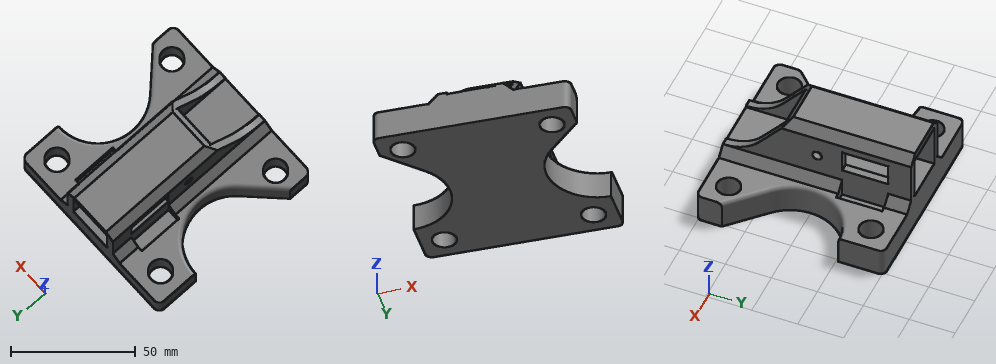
import cadquery as cq
import math

SIDE = 82.0
HALF_SIDE = SIDE / 2
BASE_HEIGHT = 13.0
CORNER_RADIUS = 2.8
BOLT_DIAMETER = 10.0
BOLT_INSET = 10.0
SCALLOP_RADIUS = 21.0
EDGE_ROUND = 2.0
RIM_MARGIN = 0.8

TOTAL_HEIGHT = 40.0
BORE_SIZE = 20.0
WALL = 3.5
HOUSING_WIDTH = BORE_SIZE + 2 * WALL
HOUSING_CHAMFER = 4.1
SKIRT_SIZE = 4.1
SKIRT_TOP = BASE_HEIGHT + SKIRT_SIZE
ROOF_END_Y = -12.05
NOSE_RADIUS = 20.0
NOSE_ANGLE = math.radians(50)

WINDOW_LENGTH = 20.0
WINDOW_HEIGHT = 10.0
WINDOW_Y = HALF_SIDE - BOLT_INSET - WINDOW_LENGTH / 2
WINDOW_Z = 27.55
POCKET_OUTER_X = 19.8
POCKET_DEPTH = 8.2
PIN_DIAMETER = 4.0
PIN_Z = 26.5


def scalloped(plate):
    """Cut an arc with a 45 degree run-out into both X sides, rounding the top rim."""
    diagonal = SCALLOP_RADIUS * math.sqrt(0.5)
    for side in (-1, 1):
        edge = side * HALF_SIDE
        cutter = (
            cq.Workplane("XY")
            .moveTo(edge, SCALLOP_RADIUS)
            .threePointArc(
                (edge - side * SCALLOP_RADIUS, 0),
                (edge - side * diagonal, -diagonal),
            )
            .lineTo(edge, -2 * diagonal)
            .close()
            .extrude(BASE_HEIGHT)
        )
        plate = plate.cut(cutter)
        rim = cq.selectors.BoxSelector(
            (edge - side * (SCALLOP_RADIUS + RIM_MARGIN), -2 * diagonal, BASE_HEIGHT - RIM_MARGIN),
            (edge - side * RIM_MARGIN, SCALLOP_RADIUS, BASE_HEIGHT + RIM_MARGIN),
        )
        plate = plate.edges(rim).fillet(EDGE_ROUND)
    return plate


def make_base():
    plate = cq.Workplane("XY").box(SIDE, SIDE, BASE_HEIGHT, centered=(True, True, False))
    plate = scalloped(plate.edges("|Z").fillet(CORNER_RADIUS))
    bolt_spacing = SIDE - 2 * BOLT_INSET
    bolts = (
        cq.Workplane("XY")
        .rect(bolt_spacing, bolt_spacing, forConstruction=True)
        .vertices()
        .circle(BOLT_DIAMETER / 2)
        .extrude(BASE_HEIGHT)
    )
    return plate.cut(bolts)


def make_skirt():
    """Sloping strip along both feet of the housing."""
    top = HOUSING_WIDTH / 2
    bottom = top + SKIRT_SIZE
    return (
        cq.Workplane("XZ")
        .polyline([(-bottom, BASE_HEIGHT), (bottom, BASE_HEIGHT), (top, SKIRT_TOP), (-top, SKIRT_TOP)])
        .close()
        .extrude(HALF_SIDE, both=True)
    )


def make_housing():
    """Side profile with the nose curve, chamfered along both upper edges."""
    arc_start_z = SKIRT_TOP + NOSE_RADIUS * (1 - math.cos(NOSE_ANGLE))
    arc_start_y = ROOF_END_Y - (TOTAL_HEIGHT - arc_start_z) / math.tan(NOSE_ANGLE)
    arc_end_y = arc_start_y - NOSE_RADIUS * math.sin(NOSE_ANGLE)
    half_angle = NOSE_ANGLE / 2
    arc_middle = (
        arc_end_y + NOSE_RADIUS * math.sin(half_angle),
        SKIRT_TOP + NOSE_RADIUS * (1 - math.cos(half_angle)),
    )
    profile = (
        cq.Workplane("YZ")
        .moveTo(HALF_SIDE, BASE_HEIGHT)
        .lineTo(HALF_SIDE, TOTAL_HEIGHT)
        .lineTo(ROOF_END_Y, TOTAL_HEIGHT)
        .lineTo(arc_start_y, arc_start_z)
        .threePointArc(arc_middle, (arc_end_y, SKIRT_TOP))
        .lineTo(-HALF_SIDE, SKIRT_TOP)
        .lineTo(-HALF_SIDE, BASE_HEIGHT)
        .close()
        .extrude(HOUSING_WIDTH / 2, both=True)
    )
    envelope = (
        cq.Workplane("XY")
        .box(HOUSING_WIDTH, SIDE, TOTAL_HEIGHT, centered=(True, True, False))
        .edges("|Y and >Z")
        .chamfer(HOUSING_CHAMFER)
    )
    return profile.intersect(envelope)


def make_pockets():
    """Pockets beside the housing, sunk through the skirt and into the base plate."""
    inner_x = HOUSING_WIDTH / 2
    centre_x = (inner_x + POCKET_OUTER_X) / 2
    return (
        cq.Workplane("XY", origin=(0, WINDOW_Y, SKIRT_TOP))
        .pushPoints([(-centre_x, 0), (centre_x, 0)])
        .rect(POCKET_OUTER_X - inner_x, WINDOW_LENGTH)
        .extrude(-POCKET_DEPTH)
    )


def make_openings():
    """Square bore along Y, plus the window and pin hole that cross both side walls."""
    bore_z = TOTAL_HEIGHT - WALL - BORE_SIZE / 2
    bore = cq.Workplane("XY").box(BORE_SIZE, SIDE, BORE_SIZE).translate((0, 0, bore_z))
    window = (
        cq.Workplane("XY")
        .box(HOUSING_WIDTH, WINDOW_LENGTH, WINDOW_HEIGHT)
        .translate((0, WINDOW_Y, WINDOW_Z))
    )
    pin = (
        cq.Workplane("YZ", origin=(0, 0, PIN_Z))
        .circle(PIN_DIAMETER / 2)
        .extrude(HOUSING_WIDTH / 2, both=True)
    )
    return bore.union(window).union(pin)


body = make_base().union(make_skirt()).union(make_housing())
result = body.cut(make_openings()).cut(make_pockets())